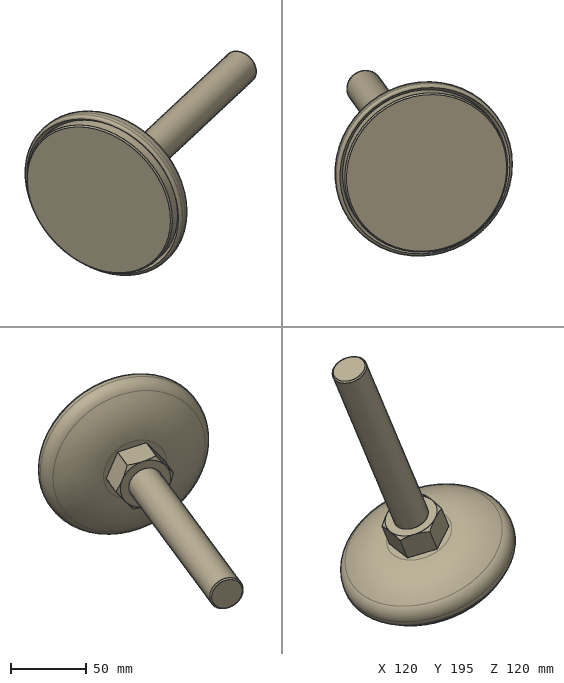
import cadquery as cq
import math


TOTAL_HEIGHT = 195.0
COLLAR_TOP = 49.0
PLATE_TOP = 30.0
SHOULDER_HEIGHT = 19.5
WALL_TOP = 10.1

PLATE_RADIUS = 60.0
PLATE_TOP_RADIUS = 22.6
SHOULDER_RADIUS = 54.6
RIM_BOTTOM = 5.0
RIM_ROUND = 2.1

PAD_RADIUS = 55.5
PAD_TOP = 8.0
PAD_CHAMFER = 1.0

ROD_RADIUS = 12.0
ROD_CHAMFER = 1.0
COLLAR_ACROSS_FLATS = 36.0
COLLAR_SIDES = 6
COLLAR_TURN = 7.0
COLLAR_CHAMFER_ANGLE = 30.0


def revolve_about_y(profile):
    return profile.close().revolve(360, (0, 0, 0), (0, 1, 0))


def arc_middle(start_point, end_point, center):
    """Middle point of the arc between two points that lie at one distance from the center."""
    radius = math.dist(start_point, center)
    chord_x = (start_point[0] + end_point[0]) / 2 - center[0]
    chord_y = (start_point[1] + end_point[1]) / 2 - center[1]
    reach = radius / math.hypot(chord_x, chord_y)
    return center[0] + chord_x * reach, center[1] + chord_y * reach


def make_pad():
    profile = (
        cq.Workplane("XY")
        .lineTo(PAD_RADIUS - PAD_CHAMFER, 0)
        .lineTo(PAD_RADIUS, PAD_CHAMFER)
        .lineTo(PAD_RADIUS, PAD_TOP)
        .lineTo(0, PAD_TOP)
    )
    return revolve_about_y(profile)


def make_plate():
    rim_center = (PLATE_RADIUS - RIM_ROUND, RIM_BOTTOM + RIM_ROUND)
    rim_edge = (rim_center[0], RIM_BOTTOM)
    wall_start = (PLATE_RADIUS, rim_center[1])
    wall_end = (PLATE_RADIUS, WALL_TOP)
    shoulder = (SHOULDER_RADIUS, SHOULDER_HEIGHT)
    crown = (PLATE_TOP_RADIUS, PLATE_TOP)

    shoulder_run = PLATE_RADIUS - SHOULDER_RADIUS
    shoulder_rise = SHOULDER_HEIGHT - WALL_TOP
    shoulder_arc_radius = (shoulder_run**2 + shoulder_rise**2) / (2 * shoulder_run)
    shoulder_center = (PLATE_RADIUS - shoulder_arc_radius, WALL_TOP)

    crown_run = SHOULDER_RADIUS - PLATE_TOP_RADIUS
    crown_drop = PLATE_TOP - SHOULDER_HEIGHT
    crown_arc_radius = (crown_run**2 + crown_drop**2) / (2 * crown_drop)
    crown_center = (PLATE_TOP_RADIUS, PLATE_TOP - crown_arc_radius)

    profile = (
        cq.Workplane("XY")
        .moveTo(0, PAD_TOP)
        .lineTo(PAD_RADIUS, PAD_TOP)
        .lineTo(*rim_edge)
        .threePointArc(arc_middle(rim_edge, wall_start, rim_center), wall_start)
        .lineTo(*wall_end)
        .threePointArc(arc_middle(wall_end, shoulder, shoulder_center), shoulder)
        .threePointArc(arc_middle(crown, shoulder, crown_center), crown)
        .lineTo(0, PLATE_TOP)
    )
    return revolve_about_y(profile)


def make_collar():
    across_corners = COLLAR_ACROSS_FLATS / math.cos(math.pi / COLLAR_SIDES)
    flat_radius = COLLAR_ACROSS_FLATS / 2
    hexagon = (
        cq.Workplane("XZ", origin=(0, PLATE_TOP, 0))
        .polygon(COLLAR_SIDES, across_corners)
        .extrude(PLATE_TOP - COLLAR_TOP)
        .rotate((0, 0, 0), (0, 1, 0), COLLAR_TURN)
    )
    cone_radius = across_corners
    cone_drop = (cone_radius - flat_radius) * math.tan(math.radians(COLLAR_CHAMFER_ANGLE))
    bevel_profile = (
        cq.Workplane("XY")
        .moveTo(0, PLATE_TOP)
        .lineTo(cone_radius, PLATE_TOP)
        .lineTo(cone_radius, COLLAR_TOP - cone_drop)
        .lineTo(flat_radius, COLLAR_TOP)
        .lineTo(0, COLLAR_TOP)
    )
    return hexagon.intersect(revolve_about_y(bevel_profile))


def make_stud():
    rod = (
        cq.Workplane("XZ", origin=(0, COLLAR_TOP, 0))
        .circle(ROD_RADIUS)
        .extrude(COLLAR_TOP - TOTAL_HEIGHT)
        .faces(">Y")
        .chamfer(ROD_CHAMFER)
    )
    return make_collar().union(rod)


pad = make_pad()
plate = make_plate()
stud = make_stud()

result = cq.Compound.makeCompound([pad.val(), plate.val(), stud.val()])